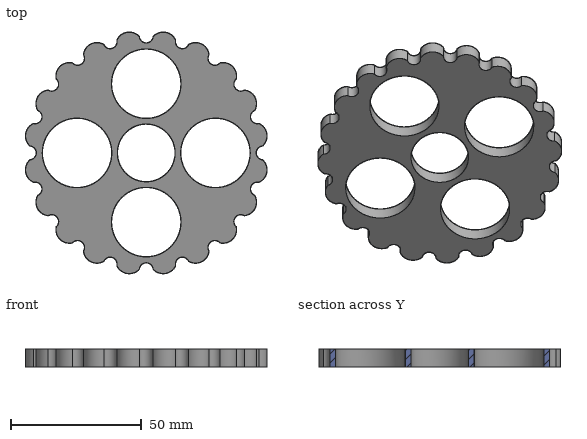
import cadquery as cq
import math

overall_width = 92.59
thickness = 7.0

lobe_count = 20
lobe_radius = 5.23
notch_radius = 2.6
notch_center_radius = 44.75
pitch_angle = 360.0 / lobe_count

lobe_center_radius = (overall_width / 2 - lobe_radius) / math.cos(math.radians(pitch_angle / 2))

bore_diameter = 22.0
window_diameter = 26.5
window_count = 4
window_center_radius = 26.5


def polar_point(radius, angle):
    """Point at a radius and an angle in degrees from +X."""
    return (radius * math.cos(math.radians(angle)), radius * math.sin(math.radians(angle)))


def lobe_notch_corner():
    """Radius and angle, from the notch axis, of the outer crossing of a notch and a lobe circle."""
    lobe_x, lobe_y = polar_point(lobe_center_radius, pitch_angle / 2)
    dx = lobe_x - notch_center_radius
    dy = lobe_y
    spacing = math.hypot(dx, dy)
    along = (spacing**2 + notch_radius**2 - lobe_radius**2) / (2 * spacing)
    across = math.sqrt(notch_radius**2 - along**2)
    x = notch_center_radius + (along * dx + across * dy) / spacing
    y = (along * dy - across * dx) / spacing
    return math.hypot(x, y), math.degrees(math.atan2(y, x))


def make_plate():
    """Scalloped plate, its outline alternating notch arcs and lobe arcs."""
    corner_radius, corner_angle = lobe_notch_corner()
    notch_bottom_radius = notch_center_radius - notch_radius
    lobe_tip_radius = lobe_center_radius + lobe_radius
    outline = cq.Workplane("XY").moveTo(*polar_point(corner_radius, -corner_angle))
    for index in range(lobe_count):
        notch_angle = index * pitch_angle
        next_notch_angle = notch_angle + pitch_angle
        outline = outline.threePointArc(
            polar_point(notch_bottom_radius, notch_angle),
            polar_point(corner_radius, notch_angle + corner_angle),
        )
        outline = outline.threePointArc(
            polar_point(lobe_tip_radius, notch_angle + pitch_angle / 2),
            polar_point(corner_radius, next_notch_angle - corner_angle),
        )
    return outline.close().extrude(thickness)


def cut_openings(plate):
    """Cut the central bore and the ring of round windows through the plate."""
    bore = cq.Workplane("XY").circle(bore_diameter / 2).extrude(thickness)
    windows = (
        cq.Workplane("XY")
        .polarArray(window_center_radius, 0, 360, window_count)
        .circle(window_diameter / 2)
        .extrude(thickness)
    )
    return plate.cut(bore).cut(windows)


result = cut_openings(make_plate())